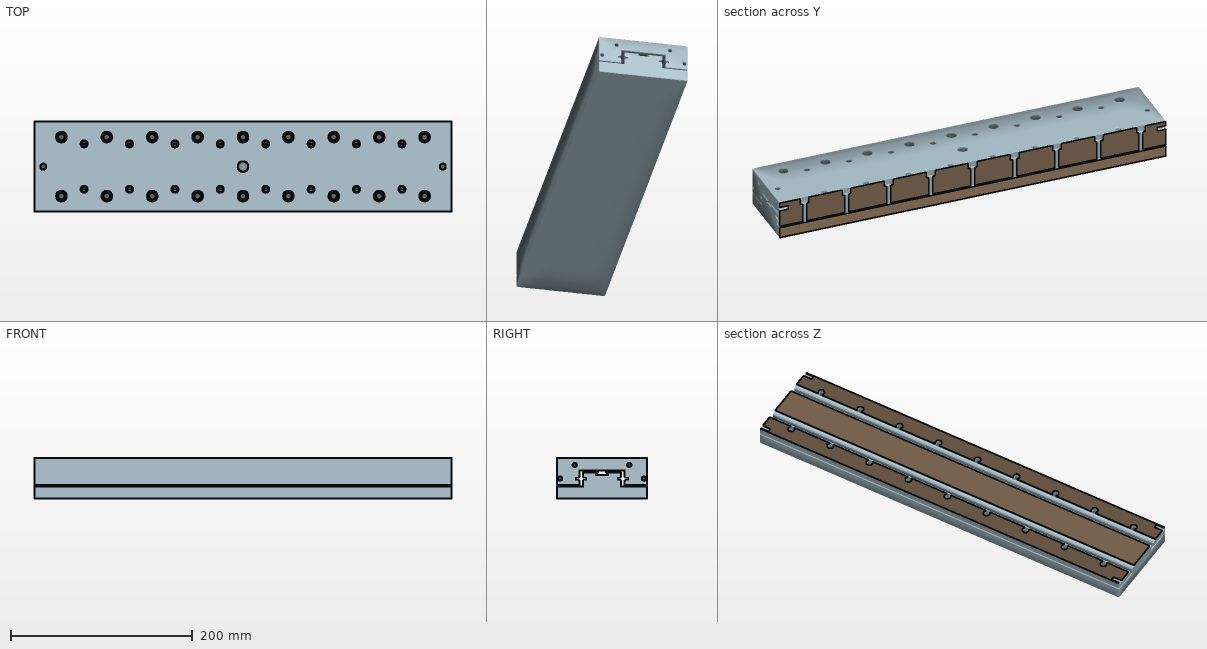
import cadquery as cq
import math

LENGTH = 460.0
WIDTH = 99.5
HEIGHT = 45.0

EDGE_CHAMFER = 0.5
RIM_CHAMFER = 0.5

FLANGE_GAP = 1.0
SIDE_GAP = 3.3
ROOF_GAP = 2.0

PLATE_TOP = 13.5
RAIL_TOP = 28.7
RAIL_HALF_WIDTH = 21.4

DOVETAIL_MOUTH = 8.6
DOVETAIL_FLOOR = 13.2
DOVETAIL_DEPTH = 2.7

TABLE_BOTTOM = PLATE_TOP + FLANGE_GAP
CHANNEL_HALF_WIDTH = RAIL_HALF_WIDTH + SIDE_GAP
CHANNEL_ROOF = RAIL_TOP + ROOF_GAP

TRACK_Y = (RAIL_HALF_WIDTH + CHANNEL_HALF_WIDTH) / 2
TRACK_Z = 21.8
TRACK_V_REACH = 4.0
RELIEF_REACH = 5.6
RELIEF_WIDTH = 2.0

MOUNT_COUNT = 9
MOUNT_PITCH = 50.0
MOUNT_ROW_SPACING = 65.0
MOUNT_HOLE_DIAMETER = 6.8
MOUNT_HOLE_CHAMFER = 1.0
MOUNT_BORE_DIAMETER = 11.0
MOUNT_BORE_DEPTH = 7.0

FIXING_ROW_SPACING = 50.0
FIXING_DIAMETER = 6.0
FIXING_CHAMFER = 1.0
FIXING_DEPTH = 17.0

CENTRE_HOLE_DIAMETER = 11.0
CENTRE_HOLE_DEPTH = 5.0
LOCATING_HOLE_DIAMETER = 6.0
LOCATING_HOLE_SPACING = 440.0
LOCATING_HOLE_DEPTH = 8.0

END_HOLE_DIAMETER = 4.0
END_HOLE_DEPTH = 10.0
END_HOLE_UPPER_Y = 30.0
END_HOLE_UPPER_Z = 37.0
END_HOLE_LOWER_Y = 46.2
END_HOLE_LOWER_Z = 22.0


def bar(y_size, z_bottom, z_top):
    """Full-length rectangular bar centred on X and Y."""
    return (
        cq.Workplane("XY", origin=(0, 0, z_bottom))
        .box(LENGTH, y_size, z_top - z_bottom, centered=(True, True, False))
    )


def end_plane():
    """Section plane at the -X end; local axes are Y and Z."""
    return cq.Workplane("YZ", origin=(-LENGTH / 2, 0, 0))


def break_edges(body, corner_y, corner_z):
    """Chamfer every edge except the two full-length inside corners at (+-corner_y, corner_z)."""
    def is_outside(edge):
        centre = edge.Center()
        at_corner = math.isclose(abs(centre.y), corner_y) and math.isclose(centre.z, corner_z)
        return not at_corner
    return body.edges().filter(is_outside).chamfer(EDGE_CHAMFER)


def roller_tracks():
    """Diamond plus relief slot on each side of the rail, cut from both bodies."""
    centres = [(-TRACK_Y, TRACK_Z), (TRACK_Y, TRACK_Z)]
    diamonds = (
        end_plane().pushPoints(centres)
        .polygon(4, 2 * TRACK_V_REACH)
        .extrude(LENGTH)
    )
    slots = (
        end_plane().pushPoints(centres)
        .rect(2 * RELIEF_REACH, RELIEF_WIDTH)
        .extrude(LENGTH)
    )
    return diamonds.union(slots)


def dovetail_groove():
    floor_z = RAIL_TOP - DOVETAIL_DEPTH
    return (
        end_plane()
        .polyline([
            (-DOVETAIL_MOUTH / 2, RAIL_TOP),
            (DOVETAIL_MOUTH / 2, RAIL_TOP),
            (DOVETAIL_FLOOR / 2, floor_z),
            (-DOVETAIL_FLOOR / 2, floor_z),
        ])
        .close()
        .extrude(LENGTH)
    )


def make_base():
    plate = bar(WIDTH, 0, PLATE_TOP)
    rail = bar(2 * RAIL_HALF_WIDTH, 0, RAIL_TOP)
    base = break_edges(plate.union(rail), RAIL_HALF_WIDTH, PLATE_TOP)
    return base.cut(dovetail_groove()).cut(roller_tracks())


def hole_cutter(diameter, depth, rim_chamfer=RIM_CHAMFER):
    """Hole pointing down from Z = 0, with a chamfered rim."""
    bore = cq.Workplane("XY").circle(diameter / 2).extrude(-depth)
    rim = (
        cq.Workplane("XY").circle(diameter / 2 + rim_chamfer)
        .workplane(offset=-rim_chamfer).circle(diameter / 2)
        .loft(ruled=True)
    )
    return bore.union(rim)


def cut_top_holes(table, cutter, x_pitch, x_count, y_spacing, y_count):
    """Cut a centred grid of holes into the top face."""
    grid = cq.Workplane("XY", origin=(0, 0, HEIGHT)).rarray(x_pitch, y_spacing, x_count, y_count)
    return table.cut(grid.eachpoint(lambda place: cutter.val().moved(place)))


def drill_top_face(table):
    counterbore = hole_cutter(MOUNT_BORE_DIAMETER, MOUNT_BORE_DEPTH)
    shank_depth = HEIGHT - TABLE_BOTTOM - MOUNT_BORE_DEPTH
    shank = hole_cutter(MOUNT_HOLE_DIAMETER, shank_depth, MOUNT_HOLE_CHAMFER)
    mount = counterbore.union(shank.translate((0, 0, -MOUNT_BORE_DEPTH)))
    table = cut_top_holes(table, mount, MOUNT_PITCH, MOUNT_COUNT, MOUNT_ROW_SPACING, 2)

    fixing = hole_cutter(FIXING_DIAMETER, FIXING_DEPTH, FIXING_CHAMFER)
    table = cut_top_holes(table, fixing, MOUNT_PITCH, MOUNT_COUNT - 1, FIXING_ROW_SPACING, 2)

    centre = hole_cutter(CENTRE_HOLE_DIAMETER, CENTRE_HOLE_DEPTH)
    table = cut_top_holes(table, centre, 1, 1, 1, 1)

    locating = hole_cutter(LOCATING_HOLE_DIAMETER, LOCATING_HOLE_DEPTH)
    return cut_top_holes(table, locating, LOCATING_HOLE_SPACING, 2, 1, 1)


def end_holes():
    """Blind holes, alike in both end faces of the table."""
    cutter = hole_cutter(END_HOLE_DIAMETER, END_HOLE_DEPTH).rotate((0, 0, 0), (0, 1, 0), -90)
    cutters = cq.Workplane("XY")
    for side in (-1, 1):
        for y, z in [(END_HOLE_UPPER_Y, END_HOLE_UPPER_Z), (END_HOLE_LOWER_Y, END_HOLE_LOWER_Z)]:
            near_hole = cutter.translate((-LENGTH / 2, side * y, z))
            cutters = cutters.add(near_hole).add(near_hole.mirror("YZ"))
    return cutters.combine()


def make_table():
    block = bar(WIDTH, TABLE_BOTTOM, HEIGHT)
    channel = bar(2 * CHANNEL_HALF_WIDTH, TABLE_BOTTOM, CHANNEL_ROOF)
    table = break_edges(block.cut(channel), CHANNEL_HALF_WIDTH, CHANNEL_ROOF).cut(roller_tracks())
    return drill_top_face(table).cut(end_holes())


base = make_base()
table = make_table()
result = cq.Compound.makeCompound([base.val(), table.val()])